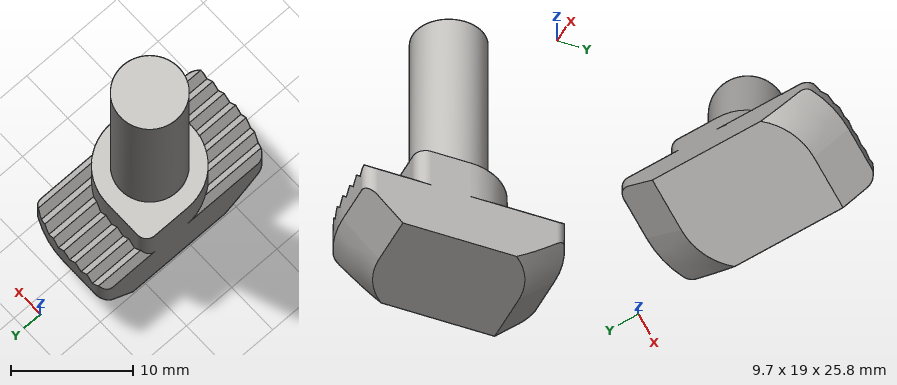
import cadquery as cq

total_height = 25.8
head_width = 9.7
head_length = 19.0
head_height = 5.8
edge_height = 3.25
neck_top = 8.8
neck_large_radius = 5.0
corner_radius = 1.0
front_corner_radius = 1.14
shank_diameter = 6.48
tooth_pitch = 1.4
tooth_depth = 0.72
groove_count = 8

half_width = head_width / 2
half_length = head_length / 2
bottom_half_length = half_length - edge_height
groove_floor = head_height - tooth_depth


def quadrant(x_sign, y_sign):
    """Block filling one plan quadrant of the head."""
    return (
        cq.Workplane("XY")
        .center(x_sign * half_width / 2, y_sign * half_length / 2)
        .rect(half_width, half_length)
        .extrude(head_height)
    )


def head_outline():
    """Plan outline: two opposite quadrants end in an arc about the axis."""
    arc_end = (half_length**2 - half_width**2) ** 0.5
    arc_mid_x = half_width / 2
    arc_mid_y = (half_length**2 - arc_mid_x**2) ** 0.5
    return (
        cq.Workplane("XY")
        .moveTo(-half_width, half_length)
        .lineTo(0, half_length)
        .threePointArc((arc_mid_x, arc_mid_y), (half_width, arc_end))
        .lineTo(half_width, -half_length)
        .lineTo(0, -half_length)
        .threePointArc((-arc_mid_x, -arc_mid_y), (-half_width, -arc_end))
        .close()
        .extrude(head_height)
        .edges("|Z and (<X or >X)")
        .fillet(corner_radius)
    )


def undercut_envelope():
    """Sloped ends: conical under the arcs, flat under the straight ends."""
    half_profile = [
        (0, 0),
        (bottom_half_length, 0),
        (half_length, edge_height),
        (half_length, head_height),
        (0, head_height),
    ]
    conical = cq.Workplane("XZ").polyline(half_profile).close().revolve(360, (0, 0), (0, 1))
    half_wedge = cq.Workplane("YZ").polyline(half_profile).close().extrude(half_width, both=True)
    wedge = half_wedge.union(half_wedge.mirror("XZ"))
    curved_part = conical.intersect(quadrant(-1, -1).union(quadrant(1, 1)))
    flat_part = wedge.intersect(quadrant(1, -1).union(quadrant(-1, 1)))
    return curved_part.union(flat_part)


def cut_serrations(head):
    """V-grooves along Y, with a crest on the centre plane."""
    for index in range(groove_count):
        valley_x = (index - (groove_count - 1) / 2) * tooth_pitch
        groove = (
            cq.Workplane("XZ")
            .moveTo(valley_x, groove_floor)
            .lineTo(valley_x + tooth_pitch / 2, head_height)
            .lineTo(valley_x - tooth_pitch / 2, head_height)
            .close()
            .extrude(half_length, both=True)
        )
        head = head.cut(groove)
    return head


def neck():
    """Square neck with two large and two small rounded corners in opposite pairs."""
    large_start = half_width - neck_large_radius
    small_start = half_width - corner_radius
    front_start = half_width - front_corner_radius
    diagonal = 0.5**0.5
    large_mid = large_start + neck_large_radius * diagonal
    small_mid = small_start + corner_radius * diagonal
    front_mid = front_start + front_corner_radius * diagonal
    return (
        cq.Workplane("XY")
        .moveTo(large_start, half_width)
        .threePointArc((large_mid, large_mid), (half_width, large_start))
        .lineTo(half_width, -front_start)
        .threePointArc((front_mid, -front_mid), (front_start, -half_width))
        .lineTo(-large_start, -half_width)
        .threePointArc((-large_mid, -large_mid), (-half_width, -large_start))
        .lineTo(-half_width, small_start)
        .threePointArc((-small_mid, small_mid), (-small_start, half_width))
        .close()
        .extrude(neck_top)
    )


head = cut_serrations(head_outline().intersect(undercut_envelope()))
shank = cq.Workplane("XY").circle(shank_diameter / 2).extrude(total_height)
result = head.union(neck()).union(shank)